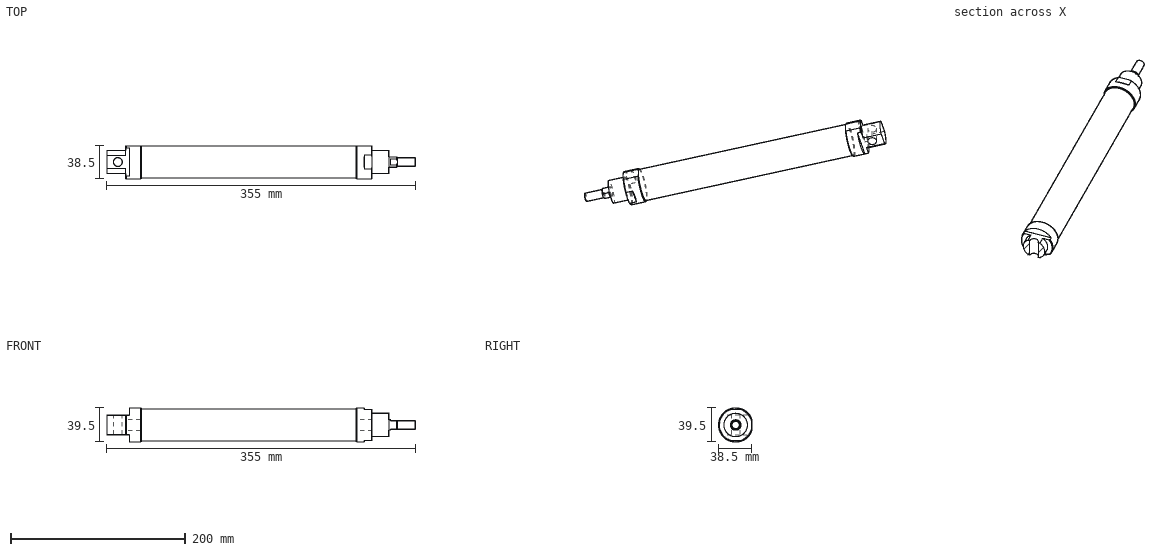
import cadquery as cq

total_length = 355.0

cap_diameter = 39.5
cap_width = 38.5
cap_radius = cap_diameter / 2
cap_side_flat = cap_width - cap_radius
cap_edge_chamfer = 0.9
neck_radius = 13.5

collar_start = 21.5
tongue_flat = 11.5
tongue_flat_end = 26.0
collar_end = 39.8
pivot_hole_diameter = 10.0
pivot_hole_x = 12.8

tube_radius = 18.5
tube_end = 286.5

wrench_flat_start = 296.5
wrench_wall_run = 1.0
wrench_size = 36.0
wrench_flat = wrench_size / 2
front_cap_end = 305.0
nose_end = 324.0

rod_radius = 6.0
rod_flat = 5.0
rod_flat_start = 326.2
rod_shoulder = 334.0
thread_radius = 5.0
rod_shoulder_chamfer = 1.0
rod_tip_chamfer = 0.7


def cylinder(start, end, radius):
    """Round bar along X between two stations."""
    return cq.Workplane("YZ", origin=(start, 0, 0)).circle(radius).extrude(end - start)


def flat_cutter(start, end, flat_distance):
    """Two blocks, above and below, that leave flats at +Z and -Z."""
    length = end - start
    span = 2 * cap_radius
    block = cq.Workplane("XY").box(length, span, span, centered=(False, True, False))
    above = block.translate((start, 0, flat_distance))
    below = block.translate((start, 0, -flat_distance - span))
    return above.union(below)


def cap_body(start, end):
    """Round cap with chamfered end edges and one side flat facing +Y."""
    span = 2 * cap_radius
    side_block = cq.Workplane("XY").box(end - start, span, span, centered=(False, False, True))
    round_cap = cylinder(start, end, cap_radius).faces("<X or >X").chamfer(cap_edge_chamfer)
    return round_cap.cut(side_block.translate((start, cap_side_flat, 0)))


def make_rear_cap():
    collar = cap_body(collar_start, collar_end)
    cap = collar.union(cylinder(0, collar_start, neck_radius))
    cap = cap.cut(flat_cutter(0, tongue_flat_end, tongue_flat))
    pivot_hole = (
        cq.Workplane("XY")
        .center(pivot_hole_x, 0)
        .circle(pivot_hole_diameter / 2)
        .extrude(tongue_flat, both=True)
    )
    return cap.cut(pivot_hole)


def make_tube():
    return cylinder(collar_end, tube_end, tube_radius)


def wrench_notch():
    """Notch above the +Z wrench flat, with its end wall leaning toward the tube."""
    return (
        cq.Workplane("XZ")
        .moveTo(wrench_flat_start, wrench_flat)
        .lineTo(front_cap_end, wrench_flat)
        .lineTo(front_cap_end, cap_radius)
        .lineTo(wrench_flat_start - wrench_wall_run, cap_radius)
        .close()
        .extrude(cap_radius, both=True)
    )


def make_front_cap():
    cap = cap_body(tube_end, front_cap_end)
    cap = cap.cut(wrench_notch()).cut(wrench_notch().mirror("XY"))
    return cap.union(cylinder(front_cap_end, nose_end, neck_radius))


def make_rod():
    shank = cylinder(nose_end, rod_shoulder, rod_radius).faces(">X").chamfer(rod_shoulder_chamfer)
    shank = shank.cut(flat_cutter(rod_flat_start, rod_shoulder, rod_flat))
    thread = cylinder(rod_shoulder, total_length, thread_radius).faces(">X").chamfer(rod_tip_chamfer)
    return shank.union(thread)


rear_cap = make_rear_cap()
tube = make_tube()
front_cap = make_front_cap()
rod = make_rod()

result = cq.Compound.makeCompound([rear_cap.val(), tube.val(), front_cap.val(), rod.val()])